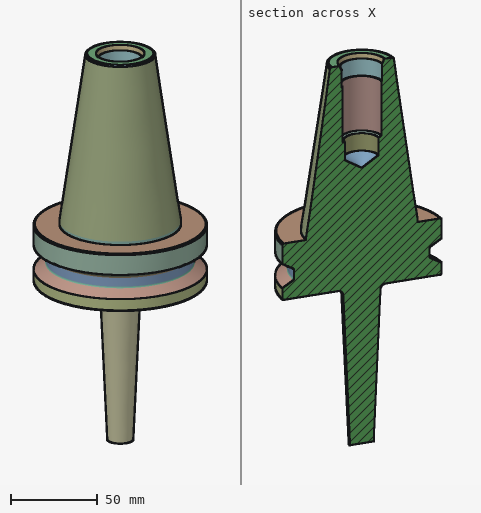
import cadquery as cq
import math

total_height = 236.8

tip_radius = 7.5
nose_radius = 11.8
neck_fillet = 3.0

flange_radius = 50.0
flange_bottom = 96.9
flange_top = 132.1
flange_chamfer = 0.7
groove_radius = 42.6
groove_bottom = 108.7
groove_top = 115.0
groove_fillet = 1.0
groove_wall_angle = 30.0
groove_wall_height = (flange_radius - groove_radius) * math.tan(math.radians(groove_wall_angle))

gauge_radius = 35.0
gauge_height = 134.0
taper = 7 / 24
shank_top_radius = gauge_radius - (total_height - gauge_height) * taper / 2
shank_chamfer = 1.0

bore_mouth_radius = 14.0
bore_mouth_depth = 2.8
counterbore_radius = 12.5
counterbore_depth = 13.5
thread_radius = 12.0
thread_depth = 47.4
hole_radius = 10.5
hole_depth = 59.2
drill_point_angle = 118.0
drill_point_slope = 1 / math.tan(math.radians(drill_point_angle / 2))
drill_point_height = hole_radius * drill_point_slope
thread_end_height = (thread_radius - hole_radius) * drill_point_slope


def revolve_profile(profile):
    """Revolve a closed (radius, height) profile about the Z axis."""
    return profile.close().revolve(360, (0, 0, 0), (0, 1, 0))


def make_body():
    """Nose, neck fillet, grooved flange and taper shank."""
    neck_bottom = flange_bottom - neck_fillet
    arc_offset = neck_fillet * (1 - math.sqrt(0.5))
    profile = (
        cq.Workplane("XZ")
        .lineTo(tip_radius, 0)
        .lineTo(nose_radius, neck_bottom)
        .threePointArc(
            (nose_radius + arc_offset, flange_bottom - arc_offset),
            (nose_radius + neck_fillet, flange_bottom),
        )
        .lineTo(flange_radius - flange_chamfer, flange_bottom)
        .lineTo(flange_radius, flange_bottom + flange_chamfer)
        .lineTo(flange_radius, groove_bottom - groove_wall_height)
        .lineTo(groove_radius, groove_bottom)
        .lineTo(groove_radius, groove_top)
        .lineTo(flange_radius, groove_top + groove_wall_height)
        .lineTo(flange_radius, flange_top - flange_chamfer)
        .lineTo(flange_radius - flange_chamfer, flange_top)
        .lineTo(gauge_radius, flange_top)
        .lineTo(gauge_radius, gauge_height)
        .lineTo(shank_top_radius + shank_chamfer * taper / 2, total_height - shank_chamfer)
        .lineTo(shank_top_radius - shank_chamfer, total_height)
        .lineTo(0, total_height)
    )
    return revolve_profile(profile)


def round_groove_corners(body):
    """Fillet the two circles where the groove floor meets its sloped walls."""
    groove_zone = cq.selectors.BoxSelector(
        (-groove_radius, -groove_radius, groove_bottom - groove_fillet),
        (groove_radius, groove_radius, groove_top + groove_fillet),
    )
    return body.edges("%CIRCLE").edges(groove_zone).fillet(groove_fillet)


def make_bore():
    """Chamfered counterbore, plain thread bore and a drilled hole with a conical bottom."""
    counterbore_bottom = total_height - counterbore_depth
    thread_bottom = total_height - thread_depth
    hole_bottom = total_height - hole_depth
    profile = (
        cq.Workplane("XZ")
        .moveTo(0, total_height)
        .lineTo(bore_mouth_radius, total_height)
        .lineTo(counterbore_radius, total_height - bore_mouth_depth)
        .lineTo(counterbore_radius, counterbore_bottom)
        .lineTo(thread_radius, counterbore_bottom)
        .lineTo(thread_radius, thread_bottom)
        .lineTo(hole_radius, thread_bottom - thread_end_height)
        .lineTo(hole_radius, hole_bottom)
        .lineTo(0, hole_bottom - drill_point_height)
    )
    return revolve_profile(profile)


result = round_groove_corners(make_body()).cut(make_bore())